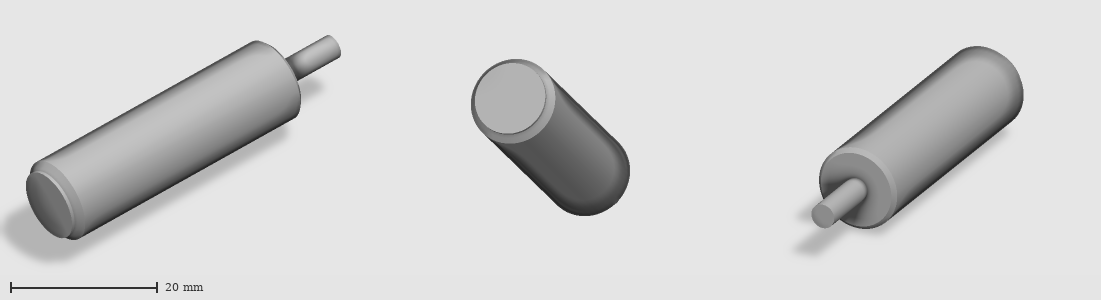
import cadquery as cq

total_length = 50.0
body_length = 40.0
body_diameter = 12.0
stem_diameter = 3.5
front_chamfer = 1.0
nose_length = 0.5
rear_chamfer = 0.6

body_radius = body_diameter / 2
nose_radius = body_radius - front_chamfer
stem_length = total_length - body_length


def cylinder_along_y(start, radius, length):
    """Solid cylinder on the Y axis, running from start towards +Y."""
    plane = cq.Plane(origin=(0, start, 0), xDir=(1, 0, 0), normal=(0, 1, 0))
    return cq.Workplane(plane).circle(radius).extrude(length)


nose = cylinder_along_y(0, nose_radius, nose_length)

barrel = cylinder_along_y(nose_length, body_radius, body_length - nose_length)
barrel = barrel.faces("<Y").chamfer(front_chamfer)
barrel = barrel.faces(">Y").chamfer(rear_chamfer)

stem = cylinder_along_y(body_length, stem_diameter / 2, stem_length)

result = nose.union(barrel).union(stem)